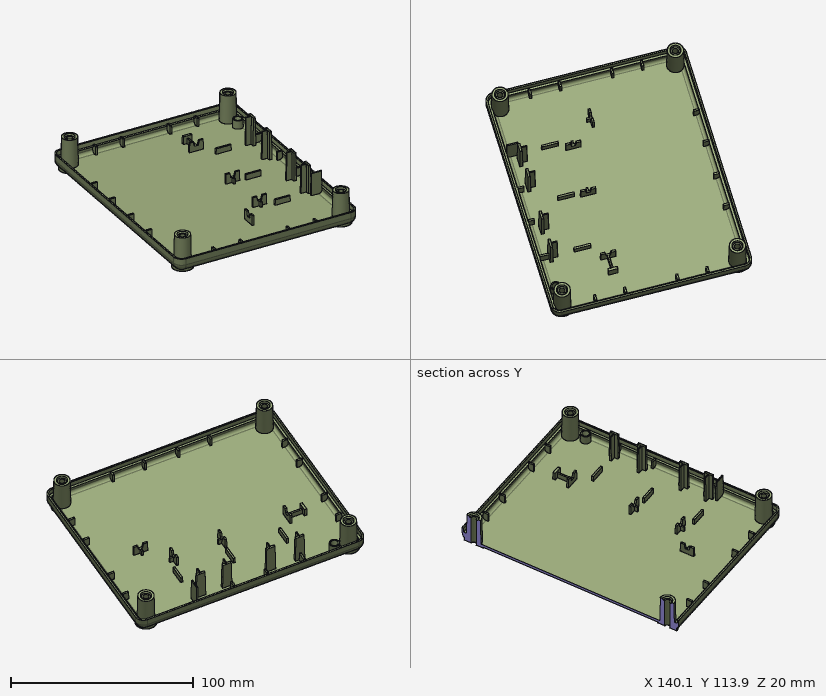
import cadquery as cq
length = 140.1
width = 113.9
height = 20.0
corner_radius = 4.9

foot_height = 0.5
floor_z = 2.7
rim_z = 8.8
outer_fillet = 4.5

lip_root_thickness = 1.3
lip_height = 2.7
lip_draft = 6
ledge_z = rim_z - lip_height
wall_thickness = 2.7
inner_fillet = 2.0

post_x = 62.5
post_y = 49.9
post_base_radius = 4.9
post_top_radius = 4.5
recess_top_radius = 3.1
recess_floor_radius = 2.5
recess_depth = 0.8
screw_radius = 1.61
foot_radius = 6.2
foot_top_z = 2.1

boss_x = -53.2
boss_y = 50.9
boss_z = 7.7
boss_base_radius = 3.1
boss_top_radius = 2.8
boss_bore_top_radius = 2.1
boss_bore_floor_radius = 0.8

thin = 1.3
web_thickness = 1.1
draft = 1.0
root_z = floor_z - 0.7

bar_xs = (-32.8, 0.1, 32.5)
bar_y = 30.0
bar_length = 9.5
bar_z = 6.0

cradle_length = 8.7
cradle_z = 8.7
notch_top_width = 3.6
notch_floor_width = 2.2
web_z = 5.9
cradle_y = 17.8
linked_cradle_x = -41.5
stub_cradle_xs = (-1.3, 28.6)
stub_reach = 2.7
end_bar_x = -51.3
end_bar_length = 5.5
end_bar_thickness = 1.7
end_bar_z = 7.4
cross_cradle_x = 42.0
cross_cradle_y = 3.8

guide_xs = (-33.0, -15.1, 11.9, 28.0)
guide_width = 5.7
guide_back_y = 49.2
guide_bar_thickness = 1.8
guide_front_y = 44.1

rib_z = 7.7
rib_inner_x = 64.0
rib_inner_y = 51.0
side_rib_ys = (-32.0, -14.9, 14.9, 32.0)
front_rib_xs = (-30.1, -10.4, 10.4, 30.1)
back_rib_xs = (-10.4, 10.4)
tall_rib_x = 33.0
tall_rib_inner_y = 47.8
tall_rib_z = 16.4


def rounded_block(inset, bottom, top, taper=0.0):
    """Block following the outer outline, moved inwards by the inset."""
    outline = (
        cq.Sketch().rect(length - 2 * inset, width - 2 * inset).vertices().fillet(corner_radius - inset)
    )
    return cq.Workplane("XY", origin=(0, 0, bottom)).placeSketch(outline).extrude(top - bottom, taper=taper)


def cone(x, y, bottom, top, bottom_radius, top_radius):
    return (
        cq.Workplane("XY", origin=(x, y, bottom))
        .circle(bottom_radius)
        .workplane(offset=top - bottom)
        .circle(top_radius)
        .loft()
    )


def standing_wall(x0, x1, y0, y1, top):
    """Drafted wall between the given limits at its root, which sits in the floor."""
    return (
        cq.Workplane("XY", origin=((x0 + x1) / 2, (y0 + y1) / 2, root_z))
        .rect(x1 - x0, y1 - y0)
        .extrude(top - root_z, taper=draft)
    )


def wall_along_x(x0, x1, y, top, thickness=thin):
    return standing_wall(x0, x1, y - thickness / 2, y + thickness / 2, top)


def wall_along_y(x, y0, y1, top, thickness=thin):
    return standing_wall(x - thickness / 2, x + thickness / 2, y0, y1, top)


def tray():
    body = rounded_block(0, foot_height, rim_z).faces("<Z").edges().fillet(outer_fillet)
    cavity = rounded_block(wall_thickness, floor_z, rim_z).faces("<Z").edges().fillet(inner_fillet)
    lip_opening = rounded_block(lip_root_thickness, ledge_z, rim_z, -lip_draft)
    return body.cut(cavity).cut(lip_opening)


def post(x, y):
    foot = cq.Workplane("XY", origin=(x, y, 0)).circle(foot_radius).extrude(foot_top_z)
    return foot.union(cone(x, y, root_z, height, post_base_radius, post_top_radius))


def screw_hole(x, y):
    bore = cq.Workplane("XY", origin=(x, y, 0)).circle(screw_radius).extrude(height)
    recess = cone(x, y, height - recess_depth, height, recess_floor_radius, recess_top_radius)
    return bore.union(recess)


def cradle(x, y):
    """Wall along Y with a tapering notch in the middle of its top edge."""
    wall = wall_along_y(x, y - cradle_length / 2, y + cradle_length / 2, cradle_z)
    notch = (
        cq.Workplane("YZ", origin=(x - thin, y, 0))
        .polyline([
            (-notch_floor_width / 2, web_z),
            (notch_floor_width / 2, web_z),
            (notch_top_width / 2, cradle_z),
            (-notch_top_width / 2, cradle_z),
        ])
        .close()
        .extrude(2 * thin)
    )
    return wall.cut(notch)


def stub_cradle(x, y):
    """Cradle with a short web towards +X."""
    return cradle(x, y).union(wall_along_x(x, x + stub_reach, y, web_z, web_thickness))


def linked_cradle():
    """Cradle joined by a web to a shorter end wall."""
    end_bar = wall_along_y(
        end_bar_x,
        cradle_y - end_bar_length / 2,
        cradle_y + end_bar_length / 2,
        end_bar_z,
        end_bar_thickness,
    )
    web = wall_along_x(end_bar_x, linked_cradle_x, cradle_y, web_z, web_thickness)
    return cradle(linked_cradle_x, cradle_y).union(end_bar).union(web)


def cross_cradle():
    """Cradle turned to lie along X, its web towards +Y."""
    turned = stub_cradle(0, 0).rotate((0, 0, 0), (0, 0, 1), 90)
    return turned.translate((cross_cradle_x, cross_cradle_y, 0))


def guide(x):
    bar = standing_wall(
        x - guide_width / 2, x + guide_width / 2, guide_back_y - guide_bar_thickness, guide_back_y, height
    )
    stem = wall_along_y(x, guide_front_y, guide_back_y - guide_bar_thickness / 2, height)
    return bar.union(stem)


def wall_ribs():
    """All ribs around the inside, ending flush with the inner wall face."""
    half_length = length / 2
    half_width = width / 2
    ribs = [wall_along_x(rib_inner_x, half_length, y, rib_z) for y in side_rib_ys]
    ribs += [wall_along_x(-half_length, -rib_inner_x, y, rib_z) for y in side_rib_ys]
    ribs += [wall_along_y(x, -half_width, -rib_inner_y, rib_z) for x in front_rib_xs]
    ribs += [wall_along_y(x, rib_inner_y, half_width, rib_z) for x in back_rib_xs]
    ribs.append(wall_along_y(guide_xs[0], guide_back_y - guide_bar_thickness / 2, half_width, rib_z))
    ribs.append(wall_along_y(tall_rib_x, tall_rib_inner_y, half_width, tall_rib_z))
    inside = rounded_block(wall_thickness, root_z, height)
    return [rib.intersect(inside) for rib in ribs]


corners = [(sx * post_x, sy * post_y) for sx in (-1, 1) for sy in (-1, 1)]

additions = [post(x, y) for x, y in corners]
additions.append(cone(boss_x, boss_y, root_z, boss_z, boss_base_radius, boss_top_radius))
additions += [wall_along_y(x, bar_y - bar_length / 2, bar_y + bar_length / 2, bar_z) for x in bar_xs]
additions += [stub_cradle(x, cradle_y) for x in stub_cradle_xs]
additions += [linked_cradle(), cross_cradle()]
additions += [guide(x) for x in guide_xs]
additions += wall_ribs()

result = tray()
for addition in additions:
    result = result.union(addition)
for x, y in corners:
    result = result.cut(screw_hole(x, y))
result = result.cut(cone(boss_x, boss_y, floor_z, boss_z, boss_bore_floor_radius, boss_bore_top_radius))